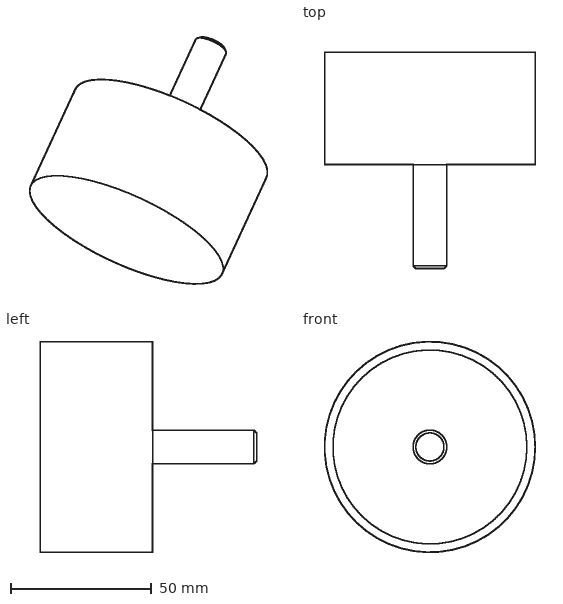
import cadquery as cq

total_length = 77.0
rubber_diameter = 75.0
rubber_length = 40.0
plate_diameter = 69.0
plate_thickness = 2.0
stud_diameter = 12.0
stud_chamfer = 1.0

rear_y = total_length / 2
front_y = rear_y - rubber_length
plate_back_y = front_y + plate_thickness
stud_tip_y = rear_y - total_length


def cylinder_along_y(diameter, start_y, end_y):
    """Solid cylinder on the Y axis, from start_y to the larger end_y."""
    plane = cq.Workplane("XZ", origin=(0, start_y, 0))
    return plane.circle(diameter / 2).extrude(start_y - end_y)


def make_rubber():
    """Rubber cylinder with a recess in its front face that holds the plate."""
    recess = cylinder_along_y(plate_diameter, front_y, plate_back_y)
    return cylinder_along_y(rubber_diameter, front_y, rear_y).cut(recess)


def make_stud():
    """Stud that passes through the plate, with a chamfered tip."""
    stud = cylinder_along_y(stud_diameter, stud_tip_y, plate_back_y)
    return stud.faces("<Y").edges().chamfer(stud_chamfer)


def make_plate():
    """Round plate, flush with the front of the rubber, with a through hole for the stud."""
    stud_hole = cylinder_along_y(stud_diameter, front_y, plate_back_y)
    return cylinder_along_y(plate_diameter, front_y, plate_back_y).cut(stud_hole)


rubber = make_rubber()
plate = make_plate()
stud = make_stud()

result = cq.Compound.makeCompound([rubber.val(), plate.val(), stud.val()])